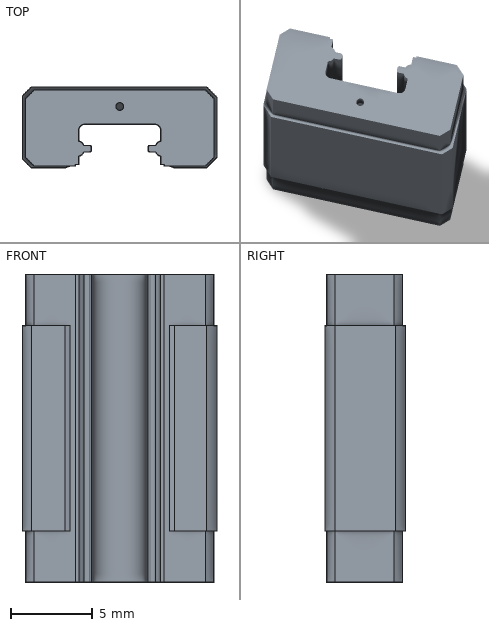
import cadquery as cq

length = 19.0
width = 12.0
depth = 5.0
back_y = depth / 2
front_y = -depth / 2

block_length = 12.67
block_left_chamfer = 0.55
block_right_chamfer = 0.65
cap_side_inset = 0.19
cap_back_inset = 0.19
cap_front_inset = 0.11
cap_chamfer = 0.53
cap_front_y = front_y + cap_front_inset

pad_edge_x = 3.38
relief_edge_x = 3.05

channel_half_width = 2.53
channel_roof_y = 0.19
roof_fillet = 0.38
mouth_half_width = 2.74
mouth_step = 0.1

lip_y = -1.31
lip_tip_x = 1.75
lip_thickness = 0.42
lip_fillet = 0.11
bead_radius = 0.5
bead_center_x = 2.66

hole_diameter = 0.48
hole_depth = 0.95
hole_y = 1.3


def centered_box(x_size, y_min, y_max, z_size):
    """Box centered on X and Z, spanning y_min to y_max."""
    return cq.Workplane("XY").box(x_size, y_max - y_min, z_size).translate((0, (y_min + y_max) / 2, 0))


def make_caps():
    """Chamfered bar along the full length; its ends form the caps."""
    bar = centered_box(width - 2 * cap_side_inset, cap_front_y, back_y - cap_back_inset, length)
    return bar.edges("|Z").chamfer(cap_chamfer)


def make_block():
    """Chamfered middle block with a bevel-sided relief between its front pads."""
    block = centered_box(width, front_y, back_y, block_length)
    block = block.faces("<X").edges("|Z").chamfer(block_left_chamfer)
    block = block.faces(">X").edges("|Z").chamfer(block_right_chamfer)
    relief = (
        cq.Workplane("XY", origin=(0, 0, -block_length / 2))
        .polyline([
            (-pad_edge_x, front_y),
            (pad_edge_x, front_y),
            (relief_edge_x, cap_front_y),
            (-relief_edge_x, cap_front_y),
        ])
        .close()
        .extrude(block_length)
    )
    return block.cut(relief)


def make_channel():
    """Rail channel with rounded roof corners and a shallow step at its mouth."""
    channel = centered_box(2 * channel_half_width, front_y, channel_roof_y, length)
    channel = channel.edges("|Z and >Y").fillet(roof_fillet)
    mouth = centered_box(2 * mouth_half_width, front_y, cap_front_y + mouth_step, length)
    return channel.union(mouth)


def make_lip(side):
    """Bead and lip on one channel wall; side is -1 or +1 along X."""
    lip_reach = bead_center_x - lip_tip_x
    lip = cq.Workplane("XY").box(lip_reach, lip_thickness, length)
    lip = lip.translate((side * (lip_tip_x + lip_reach / 2), lip_y, 0))
    tip_face = "<X" if side > 0 else ">X"
    lip = lip.faces(tip_face).edges("|Z").fillet(lip_fillet)
    bead = cq.Workplane("XY").circle(bead_radius).extrude(length)
    bead = bead.translate((side * bead_center_x, lip_y, -length / 2))
    return lip.union(bead)


def make_hole():
    """Blind round hole going down from the top end face."""
    hole = cq.Workplane("XY").circle(hole_diameter / 2).extrude(hole_depth)
    return hole.translate((0, hole_y, length / 2 - hole_depth))


result = make_caps().union(make_block()).cut(make_channel())
for side in (-1, 1):
    result = result.union(make_lip(side))
result = result.cut(make_hole())